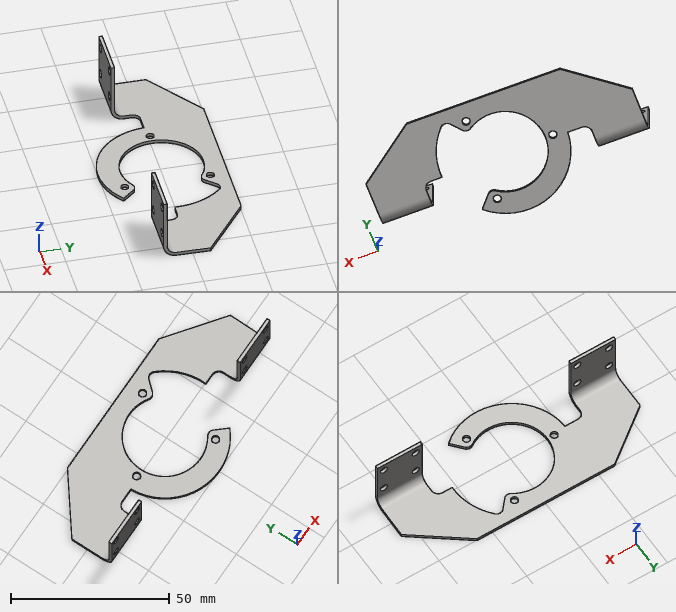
import cadquery as cq
import math

thickness = 1.2
height = 20.9
half_width = 44.9
back_y = 19.7
front_edge_y = -0.9
flange_front_y = -9.9

wing_corner_x = 25.9
wing_side_y = 5.3
leg_width = 16.9
leg_inner_x = half_width - leg_width
leg_fillet = 2.5
bend_outer_radius = 4.1
bend_start_y = flange_front_y + bend_outer_radius

right_wing_flare = 0.2

ring_outer_radius = 20.7
ring_inner_radius = 13.5
clearance_radius = 21.9
gap_half_angle = 48.6
gap_fillet = 2.0
ring_hole_diameter = 2.5
ring_hole_circle_radius = 16.0

flange_hole_diameter = 2.6
flange_hole_spacing_x = 12.0
flange_hole_spacing_z = 10.0
lower_flange_hole_z = 7.9


def polar(radius, degrees):
    """Point on a circle about the ring centre."""
    angle = math.radians(degrees)
    return radius * math.cos(angle), radius * math.sin(angle)


def make_plate():
    """Wings, legs and the left part of the ring, cut from one flat sheet."""
    body = (
        cq.Workplane("XY")
        .moveTo(-wing_corner_x, back_y)
        .lineTo(wing_corner_x, back_y)
        .lineTo(half_width + right_wing_flare, wing_side_y)
        .lineTo(half_width, bend_start_y)
        .lineTo(leg_inner_x, bend_start_y)
        .lineTo(leg_inner_x, front_edge_y)
        .lineTo(-leg_inner_x, front_edge_y)
        .lineTo(-leg_inner_x, bend_start_y)
        .lineTo(-half_width, bend_start_y)
        .lineTo(-half_width, wing_side_y)
        .close()
        .extrude(thickness)
    )
    for side in (-1, 1):
        corner = cq.selectors.NearestToPointSelector((side * leg_inner_x, front_edge_y, thickness / 2))
        body = body.edges("|Z").edges(corner).fillet(leg_fillet)
    return body.union(make_ring_disc()).cut(make_ring_opening())


def make_ring_disc():
    """Ring blank, limited to the part in front of the plate's front edge."""
    chord_half_length = math.sqrt(ring_outer_radius**2 - front_edge_y**2)
    return (
        cq.Workplane("XY")
        .moveTo(-chord_half_length, front_edge_y)
        .threePointArc((0, -ring_outer_radius), (chord_half_length, front_edge_y))
        .close()
        .extrude(thickness)
    )


def make_ring_opening():
    """Round bore joined to a wider sector that opens the ring on its right."""
    opening = (
        cq.Workplane("XY")
        .moveTo(*polar(ring_inner_radius, gap_half_angle))
        .threePointArc((-ring_inner_radius, 0), polar(ring_inner_radius, -gap_half_angle))
        .lineTo(*polar(clearance_radius, -gap_half_angle))
        .threePointArc((clearance_radius, 0), polar(clearance_radius, gap_half_angle))
        .close()
        .extrude(thickness)
    )
    rounded_corners = (
        polar(ring_inner_radius, gap_half_angle),
        polar(ring_inner_radius, -gap_half_angle),
        polar(clearance_radius, gap_half_angle),
    )
    for x, y in rounded_corners:
        corner = cq.selectors.NearestToPointSelector((x, y, thickness / 2))
        opening = opening.edges("|Z").edges(corner).fillet(gap_fillet)
    return opening


def make_flange(side):
    """Bend and upright mounting tab with four holes."""
    center_x = side * (half_width - leg_width / 2)
    bend_inner_radius = bend_outer_radius - thickness
    diagonal = math.sqrt(0.5)
    inner_y = flange_front_y + thickness
    flange = (
        cq.Workplane("YZ", origin=(center_x, 0, 0))
        .moveTo(bend_start_y, 0)
        .threePointArc(
            (bend_start_y - bend_outer_radius * diagonal, bend_outer_radius * (1 - diagonal)),
            (flange_front_y, bend_outer_radius),
        )
        .lineTo(flange_front_y, height)
        .lineTo(inner_y, height)
        .lineTo(inner_y, bend_outer_radius)
        .threePointArc(
            (bend_start_y - bend_inner_radius * diagonal, bend_outer_radius - bend_inner_radius * diagonal),
            (bend_start_y, thickness),
        )
        .close()
        .extrude(leg_width / 2, both=True)
    )
    hole_center_z = lower_flange_hole_z + flange_hole_spacing_z / 2
    holes = (
        cq.Workplane("XZ", origin=(center_x, inner_y, hole_center_z))
        .rarray(flange_hole_spacing_x, flange_hole_spacing_z, 2, 2)
        .circle(flange_hole_diameter / 2)
        .extrude(thickness)
    )
    return flange.cut(holes)


def make_ring_holes():
    """Three equally spaced holes, one of them on the left."""
    return (
        cq.Workplane("XY")
        .polarArray(ring_hole_circle_radius, 60, 360, 3)
        .circle(ring_hole_diameter / 2)
        .extrude(thickness)
    )


result = make_plate()
for flange_side in (-1, 1):
    result = result.union(make_flange(flange_side))
result = result.cut(make_ring_holes())